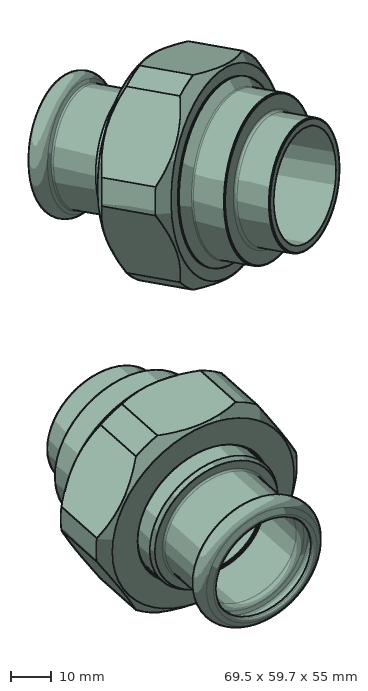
import cadquery as cq
import math


LENGTH = 69.5

NUT_START = 26.6
NUT_END = 47.55
NUT_ACROSS_FLATS = 55.0
NUT_CORNER_DIAMETER = 59.7
NUT_CHAMFER = 2.85
NUT_TURN = 30.0
NUT_LIP_DIAMETER = 38.5
NUT_LIP_CHAMFER = 0.3
NUT_LIP_LENGTH = 3.5
NUT_THREAD_DIAMETER = 44.8

WALL = 1.5
TUBE_RADIUS = 31.4 / 2
SOCKET_RADIUS = 28.4 / 2
LIP_RADIUS = 28.7 / 2
STOP_RADIUS = 27.0 / 2
STOP_CHAMFER = 0.3
LIP_NOSE = 0.7
BEAD_CENTER_RADIUS = 15.3
BEAD_ROUND = 3.1
BEAD_FILLET = 0.55
FLANK_ANGLE = math.radians(60)
COLLAR_START = 20.9
COLLAR_RADIUS = 38.0 / 2
COLLAR_CHAMFER_LENGTH = 1.2
COLLAR_CHAMFER_DEPTH = 0.7
COLLAR_FILLET = 0.5
FLANGE_RADIUS = 44.0 / 2
FLANGE_LENGTH = 3.5
FLANGE_START = NUT_START + NUT_LIP_LENGTH
FLANGE_END = FLANGE_START + FLANGE_LENGTH

SHOULDER_RADIUS = 47.7 / 2
SHOULDER_LENGTH = 0.4
BODY_RADIUS = 43.0 / 2
BODY_END = 59.5
BODY_FILLET = 0.55
BODY_EDGE_CHAMFER = 0.3
SPIGOT_RADIUS = 33.7 / 2
SPIGOT_BORE_RADIUS = 29.7 / 2
SPIGOT_FILLET = 0.7
SPIGOT_EDGE_CHAMFER = 0.3


def revolve_about_x(profile):
    """Turn a profile of (x, radius) points into a solid of revolution."""
    return profile.close().revolve(360, (0, 0, 0), (1, 0, 0))


def arc_point(center, radius, angle):
    """Point on a circle, with the angle measured from the X direction."""
    return (center[0] + radius * math.cos(angle), center[1] + radius * math.sin(angle))


def make_nut():
    length = NUT_END - NUT_START
    hexagon = (
        cq.Workplane("YZ", origin=(NUT_START, 0, 0))
        .polygon(6, NUT_ACROSS_FLATS, circumscribed=True)
        .extrude(length)
        .rotate((0, 0, 0), (1, 0, 0), NUT_TURN)
    )
    envelope = (
        cq.Workplane("YZ", origin=(NUT_START, 0, 0))
        .circle(NUT_CORNER_DIAMETER / 2)
        .extrude(length)
        .edges()
        .chamfer(NUT_CHAMFER)
    )
    lip_bore = (
        cq.Workplane("YZ", origin=(NUT_START, 0, 0))
        .circle(NUT_LIP_DIAMETER / 2)
        .extrude(length)
    )
    thread_bore = (
        cq.Workplane("YZ", origin=(FLANGE_START, 0, 0))
        .circle(NUT_THREAD_DIAMETER / 2)
        .extrude(NUT_END - FLANGE_START)
    )
    nut = hexagon.intersect(envelope).cut(lip_bore).cut(thread_bore)
    lip_edge = nut.faces("<X").edges(cq.selectors.RadiusNthSelector(0))
    return lip_edge.chamfer(NUT_LIP_CHAMFER)


def make_insert():
    rear = math.pi / 2 - FLANK_ANGLE
    front = math.pi - rear
    crest = math.pi / 2

    nose_center = (LIP_NOSE, LIP_RADIUS + LIP_NOSE)
    nose_rise = BEAD_CENTER_RADIUS - nose_center[1]
    nose_to_bead = (BEAD_ROUND - LIP_NOSE + nose_rise * math.sin(rear)) / math.cos(rear)
    bead_center = (nose_center[0] + nose_to_bead, BEAD_CENTER_RADIUS)
    fillet_radius = TUBE_RADIUS + BEAD_FILLET
    fillet_rise = fillet_radius - BEAD_CENTER_RADIUS
    bead_to_fillet = (BEAD_ROUND + BEAD_FILLET - fillet_rise * math.sin(rear)) / math.cos(rear)
    fillet_center = (bead_center[0] + bead_to_fillet, fillet_radius)

    inner_round = BEAD_ROUND - WALL
    inner_fillet = fillet_radius - SOCKET_RADIUS
    inner_front = arc_point(bead_center, inner_round, front)
    lip_end = inner_front[0] - (inner_front[1] - LIP_RADIUS) / math.tan(FLANK_ANGLE)

    fillet_flank = rear + math.pi
    fillet_tube = 1.5 * math.pi
    fillet_middle = (fillet_flank + fillet_tube) / 2
    nose_middle = (front + 1.5 * math.pi) / 2

    collar_fillet_center = (COLLAR_START - COLLAR_FILLET, TUBE_RADIUS + COLLAR_FILLET)
    profile = (
        cq.Workplane("XY")
        .moveTo(nose_center[0], LIP_RADIUS)
        .threePointArc(
            arc_point(nose_center, LIP_NOSE, nose_middle),
            arc_point(nose_center, LIP_NOSE, front),
        )
        .lineTo(*arc_point(bead_center, BEAD_ROUND, front))
        .threePointArc(
            arc_point(bead_center, BEAD_ROUND, crest),
            arc_point(bead_center, BEAD_ROUND, rear),
        )
        .lineTo(*arc_point(fillet_center, BEAD_FILLET, fillet_flank))
        .threePointArc(
            arc_point(fillet_center, BEAD_FILLET, fillet_middle),
            (fillet_center[0], TUBE_RADIUS),
        )
        .lineTo(collar_fillet_center[0], TUBE_RADIUS)
        .threePointArc(
            arc_point(collar_fillet_center, COLLAR_FILLET, -math.pi / 4),
            (COLLAR_START, collar_fillet_center[1]),
        )
        .lineTo(COLLAR_START, COLLAR_RADIUS - COLLAR_CHAMFER_DEPTH)
        .lineTo(COLLAR_START + COLLAR_CHAMFER_LENGTH, COLLAR_RADIUS)
        .lineTo(FLANGE_START, COLLAR_RADIUS)
        .lineTo(FLANGE_START, FLANGE_RADIUS)
        .lineTo(FLANGE_END, FLANGE_RADIUS)
        .lineTo(FLANGE_END, STOP_RADIUS)
        .lineTo(COLLAR_START + STOP_CHAMFER, STOP_RADIUS)
        .lineTo(COLLAR_START, STOP_RADIUS + STOP_CHAMFER)
        .lineTo(COLLAR_START, SOCKET_RADIUS)
        .lineTo(fillet_center[0], SOCKET_RADIUS)
        .threePointArc(
            arc_point(fillet_center, inner_fillet, fillet_middle),
            arc_point(fillet_center, inner_fillet, fillet_flank),
        )
        .lineTo(*arc_point(bead_center, inner_round, rear))
        .threePointArc(arc_point(bead_center, inner_round, crest), inner_front)
        .lineTo(lip_end, LIP_RADIUS)
    )
    return revolve_about_x(profile)


def make_body():
    cone_start = NUT_END + SHOULDER_LENGTH
    cone_end = cone_start + SHOULDER_RADIUS - BODY_RADIUS
    fillet_reach = BODY_FILLET * math.tan(math.pi / 8)
    fillet_center = (cone_end + fillet_reach, BODY_RADIUS + BODY_FILLET)
    spigot_fillet_center = (BODY_END + SPIGOT_FILLET, SPIGOT_RADIUS + SPIGOT_FILLET)
    profile = (
        cq.Workplane("XY")
        .moveTo(FLANGE_END, SPIGOT_BORE_RADIUS)
        .lineTo(FLANGE_END, NUT_THREAD_DIAMETER / 2)
        .lineTo(NUT_END, NUT_THREAD_DIAMETER / 2)
        .lineTo(NUT_END, SHOULDER_RADIUS)
        .lineTo(cone_start, SHOULDER_RADIUS)
        .lineTo(*arc_point(fillet_center, BODY_FILLET, 1.25 * math.pi))
        .threePointArc(
            arc_point(fillet_center, BODY_FILLET, 1.375 * math.pi),
            (fillet_center[0], BODY_RADIUS),
        )
        .lineTo(BODY_END - BODY_EDGE_CHAMFER, BODY_RADIUS)
        .lineTo(BODY_END, BODY_RADIUS - BODY_EDGE_CHAMFER)
        .lineTo(BODY_END, spigot_fillet_center[1])
        .threePointArc(
            arc_point(spigot_fillet_center, SPIGOT_FILLET, 1.25 * math.pi),
            (spigot_fillet_center[0], SPIGOT_RADIUS),
        )
        .lineTo(LENGTH - SPIGOT_EDGE_CHAMFER, SPIGOT_RADIUS)
        .lineTo(LENGTH, SPIGOT_RADIUS - SPIGOT_EDGE_CHAMFER)
        .lineTo(LENGTH, SPIGOT_BORE_RADIUS)
    )
    return revolve_about_x(profile)


nut = make_nut()
insert = make_insert()
body = make_body()

result = cq.Compound.makeCompound([nut.val(), insert.val(), body.val()])